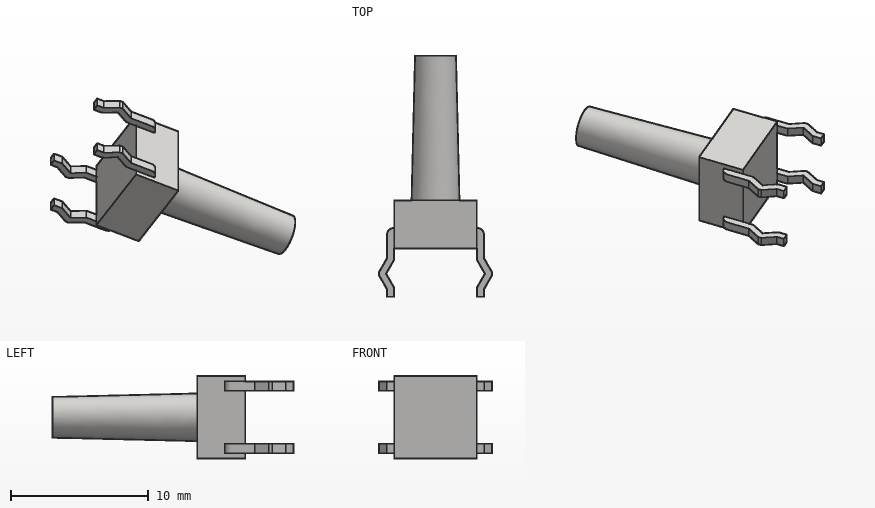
import cadquery as cq

total_length = 17.5
body_width = 6.0
body_depth = 3.5
lead_drop = 3.5
button_length = total_length - body_depth - lead_drop
button_base_diameter = 3.5
button_tip_diameter = 3.0

lead_width = 0.7
lead_thickness = 0.52
lead_spacing = 4.53
lead_length = 5.0
lead_end_radius = 0.49
kink_reach = 1.1
kink_inner_reach = 0.58
kink_flat = 0.25
kink_height = 1.68
inner_bend_rise = 1.0
outer_bend_rise = 1.12

body_side = body_width / 2
tip_y = -lead_drop


def make_body():
    return cq.Workplane("XY").box(body_width, body_depth, body_width, centered=(True, False, True))


def make_button():
    """Solid of revolution tapering from the body to the button tip."""
    button_end = body_depth + button_length
    profile = [
        (0, body_depth),
        (button_base_diameter / 2, body_depth),
        (button_tip_diameter / 2, button_end),
        (0, button_end),
    ]
    return cq.Workplane("XY").polyline(profile).close().revolve(360, (0, 0), (0, 1))


def make_lead(z_center):
    """Kinked lead on the +X side of the body."""
    crest_y = tip_y + kink_height
    outer_x = body_side + lead_thickness
    crest_x = body_side + kink_reach
    outline = [
        (body_side, tip_y),
        (outer_x, tip_y),
        (outer_x, crest_y - outer_bend_rise),
        (crest_x, crest_y - kink_flat / 2),
        (crest_x, crest_y + kink_flat / 2),
        (outer_x, crest_y + outer_bend_rise),
        (outer_x, tip_y + lead_length),
        (body_side, tip_y + lead_length),
        (body_side, crest_y + inner_bend_rise),
        (body_side + kink_inner_reach, crest_y),
        (body_side, crest_y - inner_bend_rise),
    ]
    lead = (
        cq.Workplane("XY")
        .workplane(offset=z_center - lead_width / 2)
        .polyline(outline)
        .close()
        .extrude(lead_width)
    )
    return lead.edges("|Z").edges(">Y").edges(">X").fillet(lead_end_radius)


result = make_body().union(make_button())
for z_center in (-lead_spacing / 2, lead_spacing / 2):
    lead = make_lead(z_center)
    result = result.union(lead).union(lead.mirror("YZ"))